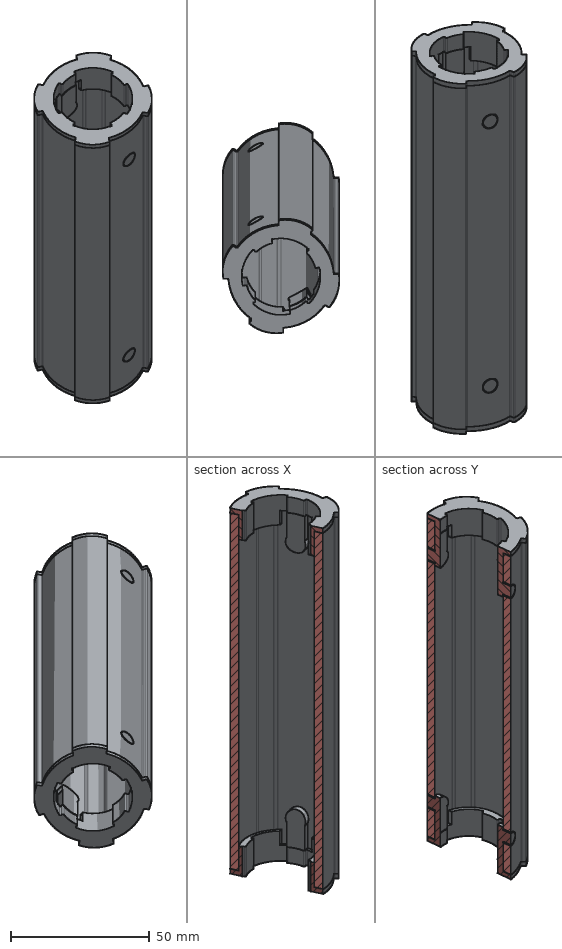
import cadquery as cq
import math

total_length = 150.0
side_radius = 19.0
corner_radius = 21.35
flange_thickness = 2.0

step_angle = math.radians(27)
step_tip_radius = 20.9
step_foot_radius = 19.1
step_fillet = 0.35

tube_bore_radius = 15.5
channel_side = 13.45
channel_radius = 16.35
channel_fillet = 0.3

plug_bore_radius = 14.25
key_inner_radius = 12.85
key_width = 7.2
key_fillet = 0.4
spigot_depth = 12.3
slit_top_depth = 6.5
button_depth = 18.4
button_diameter = 5.5
button_hole_diameter = 6.0
arm_width = key_width
arm_end_diameter = 8.0
arm_inner_radius = 13.0
slit_width = 2.8

half_length = total_length / 2
tube_length = total_length - 2 * flange_thickness


def polar(radius, angle):
    """Point at a radius and an angle about the Z axis."""
    return (radius * math.cos(angle), radius * math.sin(angle))


def outer_prism(bottom, height):
    """Solid with the outer outline: four gently curved sides and four raised corner lobes."""
    quarter = math.pi / 2
    outline = cq.Workplane("XY", origin=(0, 0, bottom)).moveTo(*polar(step_foot_radius, -step_angle))
    for turn in range(4):
        side = turn * quarter
        next_side = side + quarter
        outline = (
            outline.threePointArc(polar(side_radius, side), polar(step_foot_radius, side + step_angle))
            .lineTo(*polar(step_tip_radius, side + step_angle))
            .threePointArc(
                polar(corner_radius, side + quarter / 2),
                polar(step_tip_radius, next_side - step_angle),
            )
        )
        if turn < 3:
            outline = outline.lineTo(*polar(step_foot_radius, next_side - step_angle))
    return outline.close().extrude(height).edges("|Z").fillet(step_fillet)


def cylinder(radius, bottom, height):
    """Cylinder about the Z axis."""
    return cq.Workplane("XY", origin=(0, 0, bottom)).circle(radius).extrude(height)


def cross_bar(width, bottom, height):
    """Rectangular bar along X through the axis, reaching past both sides."""
    return cq.Workplane("XY", origin=(0, 0, bottom + height / 2)).box(2 * corner_radius, width, height)


def round_bar(diameter, z):
    """Round bar along X through the axis, reaching past both sides."""
    return (
        cq.Workplane("YZ", origin=(-corner_radius, 0, z))
        .circle(diameter / 2)
        .extrude(2 * corner_radius)
    )


def make_tube():
    """Profiled tube with a channelled bore and button holes near both ends."""
    bottom = -tube_length / 2
    channels = (
        cq.Workplane("XY")
        .box(2 * channel_side, 2 * channel_side, tube_length)
        .intersect(cylinder(channel_radius, bottom, tube_length))
    )
    tube = outer_prism(bottom, tube_length).cut(cylinder(tube_bore_radius, bottom, tube_length))
    tube = tube.cut(channels)
    bore_corners = cq.selectors.BoxSelector(
        (-channel_side - channel_fillet, -channel_side - channel_fillet, bottom),
        (channel_side + channel_fillet, channel_side + channel_fillet, -bottom),
    )
    tube = tube.edges("|Z").edges(bore_corners).fillet(channel_fillet)
    for end in (-1, 1):
        tube = tube.cut(round_bar(button_hole_diameter, end * (half_length - button_depth)))
    return tube


def make_plug():
    """Plug for the upper end: flange, spigot with four keys, and two arms that carry the buttons."""
    flange_bottom = half_length - flange_thickness
    spigot_bottom = half_length - spigot_depth
    slit_top = half_length - slit_top_depth
    button_z = half_length - button_depth
    arm_bottom = button_z - arm_end_diameter / 2

    body = outer_prism(flange_bottom, flange_thickness)
    body = body.union(cylinder(tube_bore_radius, spigot_bottom, flange_bottom - spigot_bottom))
    bore = cylinder(plug_bore_radius, spigot_bottom, spigot_depth)
    key_bar = cross_bar(key_width, spigot_bottom, spigot_depth)
    keys = key_bar.union(key_bar.rotate((0, 0, 0), (0, 0, 1), 90))
    opening = bore.cut(keys).union(cylinder(key_inner_radius, spigot_bottom, spigot_depth))
    body = body.cut(opening.edges("|Z").fillet(key_fillet))

    slit_height = slit_top - spigot_bottom
    slits = cross_bar(arm_width + 2 * slit_width, spigot_bottom, slit_height)
    body = body.cut(slits)

    arm_outline = cross_bar(arm_width, button_z, slit_top - button_z)
    arm_outline = arm_outline.union(round_bar(arm_end_diameter, button_z))
    arm_height = slit_top - arm_bottom
    arms = cylinder(tube_bore_radius, arm_bottom, arm_height).intersect(arm_outline)
    buttons = round_bar(button_diameter, button_z).intersect(outer_prism(arm_bottom, arm_height))
    arms = arms.union(buttons).cut(cylinder(arm_inner_radius, arm_bottom, arm_height))
    return body.union(arms)


tube = make_tube()
top_plug = make_plug()
bottom_plug = top_plug.rotate((0, 0, 0), (0, 1, 0), 180)

result = cq.Compound.makeCompound([tube.val(), top_plug.val(), bottom_plug.val()])